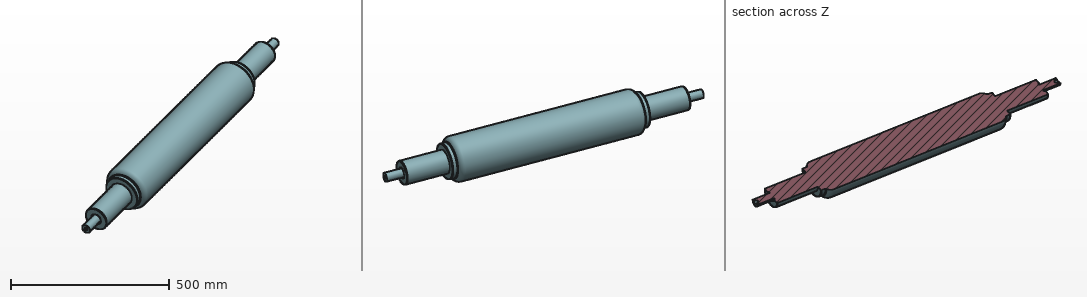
import cadquery as cq

length = 1110.0
roll_diameter = 150.0
collar_diameter = 118.0
journal_diameter = 79.0
pin_diameter = 30.0

pin_length = 58.0
journal_length = 150.0
collar_length = 17.0

roll_round = 19.0
land_diameter = 122.0
land_length = 2.0

chamfer_length = 3.0
chamfer_depth = 1.0

recess_diameter = 37.0
recess_depth = 4.0
center_hole_diameter = 10.0
center_hole_depth = 11.0

pin_end = length / 2
journal_end = pin_end - pin_length
collar_end = journal_end - journal_length
roll_end = collar_end - collar_length


def cylinder(diameter, start, end):
    """Solid cylinder on the Y axis between two Y positions."""
    return cq.Workplane("XZ", origin=(0, end, 0)).circle(diameter / 2).extrude(end - start)


def both_ends(diameter, start, end):
    """The same short cylinder at both ends of the roller."""
    return cylinder(diameter, start, end).union(cylinder(diameter, -end, -start))


def chamfered_shaft(diameter, half_length):
    """Full-length step with a shallow conical lead on each end."""
    radius = diameter / 2
    tip_radius = radius - chamfer_depth
    chamfer_start = half_length - chamfer_length
    outline = [
        (0, -half_length),
        (tip_radius, -half_length),
        (radius, -chamfer_start),
        (radius, chamfer_start),
        (tip_radius, half_length),
        (0, half_length),
    ]
    return cq.Workplane("XY").polyline(outline).close().revolve(360, (0, 0, 0), (0, 1, 0))


def roll_body():
    """Main cylinder with rounded ends cut short by the end lands."""
    land_start = roll_end - land_length
    body = cylinder(roll_diameter, -land_start, land_start).edges().fillet(roll_round)
    return body.union(cylinder(land_diameter, -roll_end, roll_end))


collar = chamfered_shaft(collar_diameter, collar_end)
journal = chamfered_shaft(journal_diameter, journal_end)
pin = cylinder(pin_diameter, -pin_end, pin_end)
recesses = both_ends(recess_diameter, journal_end - recess_depth, journal_end)
center_holes = both_ends(center_hole_diameter, pin_end - center_hole_depth, pin_end)

result = roll_body().union(collar).union(journal).cut(recesses).union(pin).cut(center_holes)